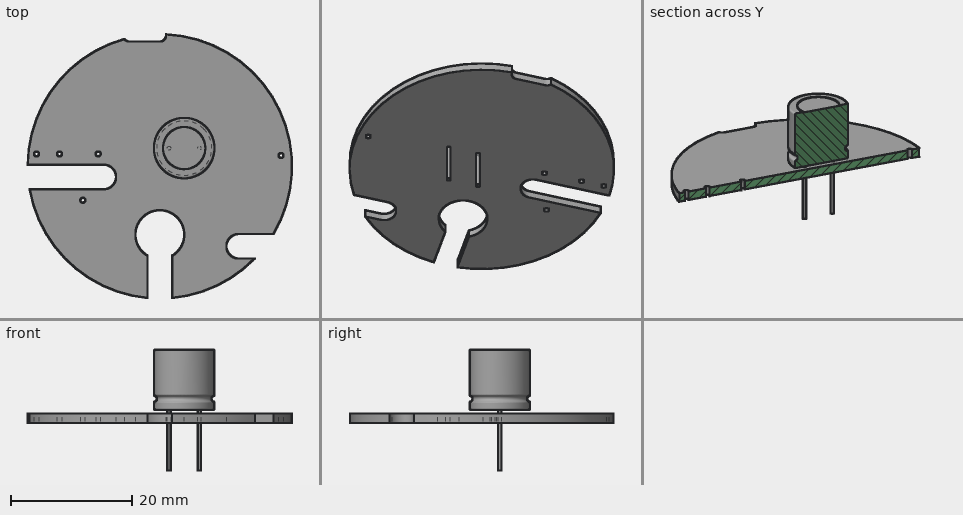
import cadquery as cq

board_diameter = 43.7
board_radius = board_diameter / 2
board_thickness = 1.6

slot_width = 4.0
left_slot_y = -1.75
left_slot_end_x = -7.25
right_slot_y = -13.2
right_slot_end_x = 11.0
keyhole_diameter = 2 * slot_width
keyhole_y = -11.27

notch_left_x = -6.05
notch_right_x = 1.0
notch_floor_y = 20.63
notch_corner_radius = 1.0

wire_hole_diameter = 0.8
wire_row_y = 2.05
wire_hole_points = [
    (-20.35, wire_row_y),
    (-16.55, wire_row_y),
    (-10.2, wire_row_y),
    (-12.7, -5.6),
    (20.0, 1.8),
]

can_diameter = 10.0
can_radius = can_diameter / 2
can_height = 10.0
can_x = 4.0
can_y = 3.0
can_standoff = 0.52
can_bottom_z = board_thickness + can_standoff
can_rim_radius = 0.3

top_recess_diameter = 7.0
top_recess_depth = 0.1

groove_height = 1.9
groove_radius = 0.5
groove_lip_radius = 0.3

lead_diameter = 0.6
lead_spacing = 5.03
lead_tail = 7.85
lead_points = [(can_x + side * lead_spacing / 2, can_y) for side in (-1, 1)]


def rounded_slot(end_x, center_y, direction):
    """Slot with a round inner end at end_x, running out past the rim (direction +1 or -1 in X)."""
    arc_x = end_x + direction * slot_width / 2
    straight = (
        cq.Workplane("XY")
        .center(arc_x + direction * board_radius / 2, center_y)
        .rect(board_radius, slot_width)
        .extrude(board_thickness)
    )
    round_end = (
        cq.Workplane("XY")
        .center(arc_x, center_y)
        .circle(slot_width / 2)
        .extrude(board_thickness)
    )
    return straight.union(round_end)


def keyhole():
    """Round opening with a straight neck that runs down through the rim."""
    opening = (
        cq.Workplane("XY")
        .center(0, keyhole_y)
        .circle(keyhole_diameter / 2)
        .extrude(board_thickness)
    )
    neck = (
        cq.Workplane("XY")
        .center(0, keyhole_y - board_radius / 2)
        .rect(slot_width, board_radius)
        .extrude(board_thickness)
    )
    return opening.union(neck)


def rim_notch():
    """Flat-floored notch with rounded floor corners, open past the rim."""
    return (
        cq.Workplane("XY")
        .moveTo(notch_left_x, notch_floor_y)
        .lineTo(notch_right_x, notch_floor_y)
        .lineTo(notch_right_x, board_radius + notch_corner_radius)
        .lineTo(notch_left_x, board_radius + notch_corner_radius)
        .close()
        .extrude(board_thickness)
        .faces("<Y")
        .edges("|Z")
        .fillet(notch_corner_radius)
    )


def make_board():
    board = cq.Workplane("XY").circle(board_radius).extrude(board_thickness)
    board = board.cut(rounded_slot(left_slot_end_x, left_slot_y, -1))
    board = board.cut(rounded_slot(right_slot_end_x, right_slot_y, 1))
    board = board.cut(keyhole())
    board = board.cut(rim_notch())
    wire_holes = (
        cq.Workplane("XY")
        .pushPoints(wire_hole_points)
        .circle(wire_hole_diameter / 2)
        .extrude(board_thickness)
    )
    lead_holes = (
        cq.Workplane("XY")
        .pushPoints(lead_points)
        .circle(lead_diameter / 2)
        .extrude(board_thickness)
    )
    return board.cut(wire_holes).cut(lead_holes)


def make_capacitor():
    can = (
        cq.Workplane("XY", origin=(can_x, can_y, can_bottom_z))
        .circle(can_radius)
        .extrude(can_height)
        .faces("<Z or >Z")
        .edges()
        .fillet(can_rim_radius)
    )

    groove_z = can_bottom_z + groove_height
    groove = cq.Solid.makeTorus(can_radius, groove_radius, cq.Vector(can_x, can_y, groove_z))
    can = can.cut(cq.Workplane(groove))
    lip_reach = groove_radius + groove_lip_radius / 2
    lip_zone = cq.selectors.BoxSelector(
        (can_x - can_diameter, can_y - can_diameter, groove_z - lip_reach),
        (can_x + can_diameter, can_y + can_diameter, groove_z + lip_reach),
    )
    can = can.edges("%CIRCLE").edges(lip_zone).fillet(groove_lip_radius)

    top_recess = (
        cq.Workplane("XY", origin=(can_x, can_y, can_bottom_z + can_height - top_recess_depth))
        .circle(top_recess_diameter / 2)
        .extrude(top_recess_depth)
    )
    can = can.cut(top_recess)

    leads = (
        cq.Workplane("XY", origin=(0, 0, -lead_tail))
        .pushPoints(lead_points)
        .circle(lead_diameter / 2)
        .extrude(lead_tail + can_bottom_z)
    )
    return can.union(leads)


board = make_board()
capacitor = make_capacitor()

result = cq.Compound.makeCompound([board.val(), capacitor.val()])